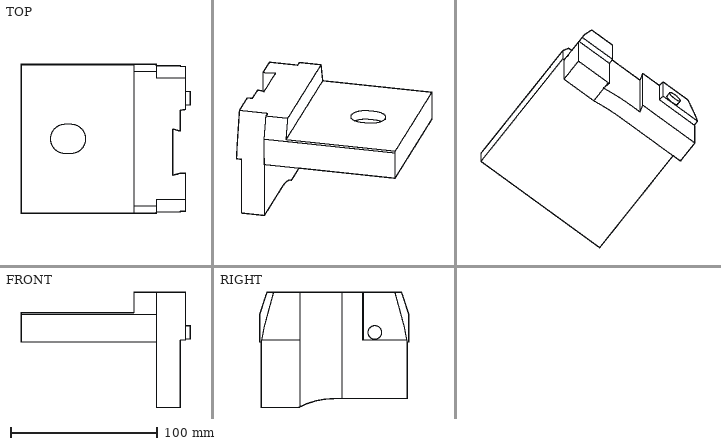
import cadquery as cq

TOTAL_LENGTH = 115.5
TOTAL_WIDTH = 102.0
TOTAL_HEIGHT = 79.0

PLATE_LENGTH = 92.4
PLATE_BOTTOM_Z = 44.8
PLATE_TOP_Z = 65.0
PLATE_TAPER_START_Z = 63.8
RIDGE_START_X = 77.0
RIDGE_TOP_WIDTH = 92.0

HEAD_END_X = 112.3
HEAD_BOTTOM_Z = 43.9
HEAD_BEND_Z = 55.6
HEAD_BOTTOM_WIDTH = 100.0
HEAD_BEND_WIDTH = 95.5
HEAD_TOP_WIDTH = 82.8

LEG_END_X = 108.7
LEG_STEP_Z = 46.2
FOOT_RISE = 6.1
FOOT_ARC_RADIUS = 52.0
FOOT_ARC_START_Y = 0.0

CHANNEL_FLOOR_X = 103.7
CHANNEL_CENTER_Y = -9.1
CHANNEL_FLOOR_WIDTH = 31.4
CHANNEL_MOUTH_WIDTH = 28.6
RECESS_FLOOR_Y = 19.4
RECESS_MOUTH_Y = 20.0

PIN_DIAMETER = 9.3
PIN_Y = 27.7
PIN_Z = 51.4

POCKET_CENTER_X = 32.0
POCKET_LENGTH = 24.0
POCKET_WIDTH = 20.0
POCKET_DEPTH = 6.4


def symmetric_section(start_x, length, levels):
    """Extrude along X a section mirrored about Y = 0, given as (width, z) levels from the bottom up."""
    right_side = [(width / 2, z) for width, z in levels]
    left_side = [(-width / 2, z) for width, z in reversed(levels)]
    section = cq.Workplane("YZ", origin=(start_x, 0, 0)).polyline(right_side + left_side).close()
    return section.extrude(length)


def make_plate():
    levels = [
        (TOTAL_WIDTH, PLATE_BOTTOM_Z),
        (TOTAL_WIDTH, PLATE_TAPER_START_Z),
        (RIDGE_TOP_WIDTH, TOTAL_HEIGHT),
    ]
    body = symmetric_section(0, PLATE_LENGTH, levels)
    above_plate = cq.Workplane("XY", origin=(0, 0, PLATE_TOP_Z)).box(
        RIDGE_START_X, TOTAL_WIDTH, TOTAL_HEIGHT - PLATE_TOP_Z, centered=(False, True, False)
    )
    pocket = (
        cq.Workplane("XY", origin=(POCKET_CENTER_X, 0, PLATE_TOP_Z))
        .slot2D(POCKET_LENGTH, POCKET_WIDTH)
        .extrude(-POCKET_DEPTH)
    )
    return body.cut(above_plate).cut(pocket)


def make_head():
    levels = [
        (HEAD_BOTTOM_WIDTH, HEAD_BOTTOM_Z),
        (HEAD_BEND_WIDTH, HEAD_BEND_Z),
        (HEAD_TOP_WIDTH, TOTAL_HEIGHT),
    ]
    head = symmetric_section(PLATE_LENGTH, HEAD_END_X - PLATE_LENGTH, levels)
    lower_step = cq.Workplane("XY", origin=(LEG_END_X, 0, HEAD_BOTTOM_Z)).box(
        HEAD_END_X - LEG_END_X, TOTAL_WIDTH, LEG_STEP_Z - HEAD_BOTTOM_Z, centered=(False, True, False)
    )
    return head.cut(lower_step)


def foot_arc_point(drop):
    """Point (y, z) on the foot's arc at the given drop below its level start."""
    run = (FOOT_ARC_RADIUS**2 - (FOOT_ARC_RADIUS - drop) ** 2) ** 0.5
    return (FOOT_ARC_START_Y - run, FOOT_RISE - drop)


def make_leg():
    half_width = HEAD_BOTTOM_WIDTH / 2
    return (
        cq.Workplane("YZ", origin=(PLATE_LENGTH, 0, 0))
        .moveTo(half_width, HEAD_BOTTOM_Z)
        .lineTo(half_width, FOOT_RISE)
        .lineTo(FOOT_ARC_START_Y, FOOT_RISE)
        .threePointArc(foot_arc_point(FOOT_RISE / 2), foot_arc_point(FOOT_RISE))
        .lineTo(-half_width, 0)
        .lineTo(-half_width, HEAD_BOTTOM_Z)
        .close()
        .extrude(LEG_END_X - PLATE_LENGTH)
    )


def make_back_cutout():
    """Dovetail channel and its side recess, running the full height of the head and leg."""
    floor_half = CHANNEL_FLOOR_WIDTH / 2
    mouth_half = CHANNEL_MOUTH_WIDTH / 2
    outline = [
        (HEAD_END_X, CHANNEL_CENTER_Y - mouth_half),
        (LEG_END_X, CHANNEL_CENTER_Y - mouth_half),
        (CHANNEL_FLOOR_X, CHANNEL_CENTER_Y - floor_half),
        (CHANNEL_FLOOR_X, CHANNEL_CENTER_Y + floor_half),
        (LEG_END_X, CHANNEL_CENTER_Y + mouth_half),
        (LEG_END_X, RECESS_FLOOR_Y),
        (HEAD_END_X, RECESS_MOUTH_Y),
    ]
    return cq.Workplane("XY").polyline(outline).close().extrude(TOTAL_HEIGHT)


def make_pin():
    return (
        cq.Workplane("YZ", origin=(HEAD_END_X, PIN_Y, PIN_Z))
        .circle(PIN_DIAMETER / 2)
        .extrude(TOTAL_LENGTH - HEAD_END_X)
    )


head_and_leg = make_head().union(make_leg()).cut(make_back_cutout())
result = make_plate().union(head_and_leg).union(make_pin())